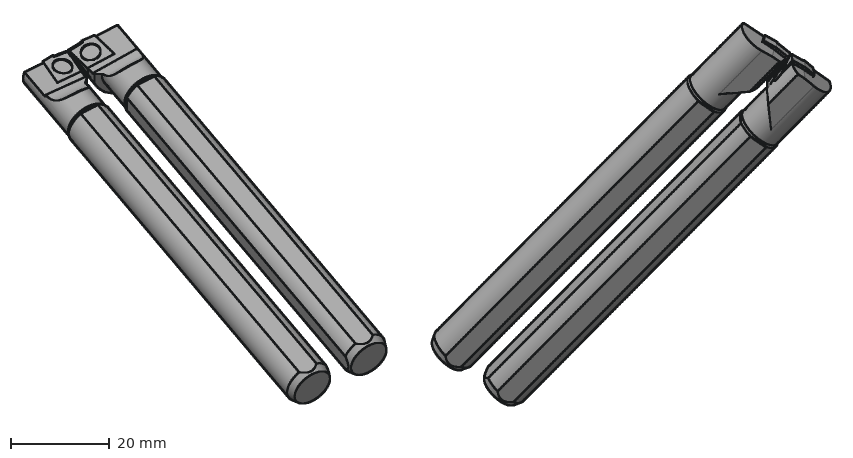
import cadquery as cq
import math


bar_end = 101.3
bar_center_y = 6.84
shank_diameter = 10.0
shank_start = 18.6
flat_offset = 4.6
end_chamfer_length = 1.7
end_chamfer_depth = 0.7

head_diameter = 9.6
head_radius = head_diameter / 2
collar_length = 0.6
collar_start = shank_start - collar_length
front_corner_y = 3.5
front_setback = 0.6
front_slope = 5.5
nose_end = 8.7
nose_top = 2.2
nose_waist_z = -2.0
nose_waist_y = 0.8
nose_bottom_y = 2.4
nose_bulge_y = 1.3
nose_bulge_z = -3.5

rake_angle = 9.0
scoop_start = 8.3
scoop_skew = 3.5
scoop_step = 0.4
scoop_radius = 5.3

insert_gap = 0.1
insert_thickness = 2.3
insert_length = 6.4
insert_width = 6.3
insert_taper = 0.6
insert_front_drop = 0.5
recess_diameter = 4.1
recess_depth = 0.3
recess_x = 3.4
recess_y = 3.4
land_width = 0.5
land_depth = 0.3

cut_margin = 20.3


def tilt(shape):
    """Turn a shape made on the XY plane onto the rake face."""
    return shape.rotate((0, 0, 0), (1, 0, 0), rake_angle)


def make_shank():
    shank = (
        cq.Workplane("YZ", origin=(shank_start, bar_center_y, 0))
        .circle(shank_diameter / 2)
        .extrude(bar_end - shank_start)
        .faces(">X")
        .chamfer(end_chamfer_length, end_chamfer_depth)
    )
    flat_limits = (
        cq.Workplane("XY")
        .box(bar_end, cut_margin, 2 * flat_offset, centered=(False, False, True))
        .translate((0, bar_center_y - flat_offset, 0))
    )
    return shank.intersect(flat_limits)


def make_collar():
    """Cone from the head to the shank, kept level with the head above, below and inside."""
    return (
        cq.Workplane("YZ", origin=(collar_start, bar_center_y, 0))
        .circle(head_radius)
        .workplane(offset=collar_length)
        .circle(shank_diameter / 2)
        .loft()
        .intersect(
            cq.Workplane("XY")
            .box(bar_end, cut_margin, head_diameter, centered=(False, False, True))
            .translate((0, bar_center_y - head_radius, 0))
        )
    )


def make_nose():
    """Part of the head that reaches past the round body to carry the insert."""
    body_edge = bar_center_y - head_radius
    edge_slope = insert_taper / insert_length
    nose_end_y = insert_gap + edge_slope * nose_end
    plan = (
        cq.Workplane("XY", origin=(0, 0, -head_radius))
        .moveTo(0, insert_gap)
        .lineTo(nose_end, nose_end_y)
        .lineTo(nose_end + body_edge - nose_end_y, body_edge)
        .lineTo(nose_end + bar_center_y - nose_end_y, bar_center_y)
        .lineTo(0, bar_center_y)
        .close()
        .extrude(head_radius + nose_top)
    )
    section = (
        cq.Workplane("YZ")
        .moveTo(bar_center_y, -head_radius)
        .lineTo(nose_bottom_y, -head_radius)
        .threePointArc((nose_bulge_y, nose_bulge_z), (nose_waist_y, nose_waist_z))
        .lineTo(insert_gap, 0)
        .lineTo(insert_gap, nose_top)
        .lineTo(bar_center_y, nose_top)
        .close()
        .extrude(shank_start)
    )
    return plan.intersect(section)


def make_front_cut():
    """Everything ahead of the front face, which is square first and then slopes back."""
    slope_run = cut_margin - front_corner_y
    slope_x = front_setback + slope_run * math.tan(math.radians(front_slope))
    return tilt(
        cq.Workplane("XY", origin=(0, 0, -cut_margin))
        .moveTo(-cut_margin, -cut_margin)
        .lineTo(front_setback, -cut_margin)
        .lineTo(front_setback, front_corner_y)
        .lineTo(slope_x, cut_margin)
        .lineTo(-cut_margin, cut_margin)
        .close()
        .extrude(2 * cut_margin)
    )


def make_rake_cut():
    """Space above the rake face, ending in a small step and a round scoop."""
    arc_45 = scoop_radius * math.sqrt(0.5)
    arc_center_z = scoop_step + scoop_radius
    profile = (
        cq.Workplane("XZ", origin=(0, cut_margin, 0))
        .moveTo(-cut_margin, 0)
        .lineTo(scoop_start, 0)
        .lineTo(scoop_start, scoop_step)
        .threePointArc(
            (scoop_start + arc_45, arc_center_z - arc_45),
            (scoop_start + scoop_radius, arc_center_z),
        )
        .lineTo(-cut_margin, arc_center_z)
        .close()
        .extrude(2 * cut_margin)
    )
    return tilt(profile.rotate((scoop_start, 0, 0), (scoop_start, 0, 1), -scoop_skew))


def make_insert_blank():
    return tilt(
        cq.Workplane("XY")
        .moveTo(0, insert_gap)
        .lineTo(insert_length, insert_gap + insert_taper)
        .lineTo(insert_length + insert_front_drop, insert_gap + insert_taper + insert_width)
        .lineTo(insert_front_drop, insert_gap + insert_width)
        .lineTo(0, front_corner_y)
        .close()
        .extrude(-insert_thickness)
    )


def make_insert():
    recess = tilt(
        cq.Workplane("XY", origin=(recess_x, recess_y, 0))
        .circle(recess_diameter / 2)
        .extrude(-recess_depth)
    )
    land = tilt(
        cq.Workplane("XZ")
        .moveTo(0, 0)
        .lineTo(land_width, 0)
        .lineTo(0, -land_depth)
        .close()
        .extrude(-front_corner_y)
    )
    return make_insert_blank().cut(recess).cut(land)


def make_holder():
    head = (
        cq.Workplane("YZ", origin=(0, bar_center_y, 0))
        .circle(head_radius)
        .extrude(collar_start)
    )
    return (
        head.union(make_nose())
        .cut(make_front_cut())
        .cut(make_rake_cut())
        .union(make_collar())
        .union(make_shank())
        .cut(make_insert_blank())
    )


bodies = []
for body in (make_holder(), make_insert()):
    bodies.extend(body.solids().vals())
    bodies.extend(body.mirror("XZ").solids().vals())

result = cq.Compound.makeCompound(bodies)